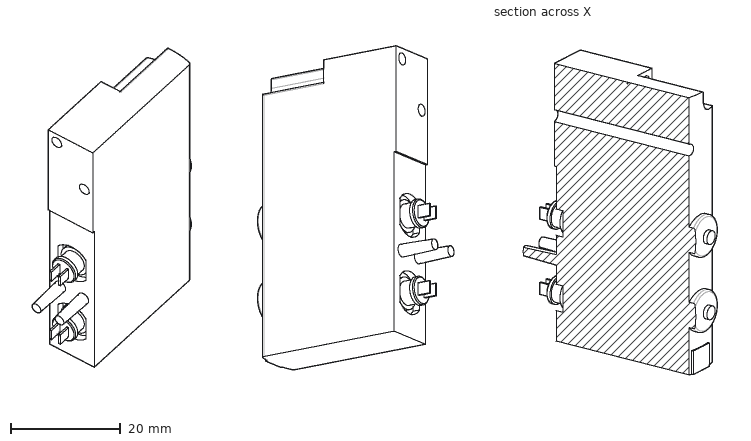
import cadquery as cq
import math

width = 10.2
height = 54.3
half_width = width / 2
crown_y = 30.45
crown_edge_y = 29.65
crown_edge_fillet = 0.6
step_z = 34.15
step_depth = 0.45

pad_width = 5.1
pad_height = 4.6
pad_back_y = 30.6

mount_hole_diameter = 2.2
mount_holes = [(-3.15, 52.25), (3.15, 44.05)]

notch_front_y = 16.0
notch_depth = 4.2
notch_cove_radius = 2.15
notch_lip_radius = 0.4

unit_pitch = 14.7
lower_connector_z = 8.6
lower_button_z = 11.8
connector_zs = [lower_connector_z, lower_connector_z + unit_pitch]
button_zs = [lower_button_z, lower_button_z + unit_pitch]

recess_diameter = 8.1
recess_width = 6.35
recess_depth = 1.45
collar_diameter = 6.1
collar_height = 0.7
stem_diameter = 4.5
cap_diameter = 5.3
cap_back_y = -1.3
cap_front_y = -2.15
cap_chamfer = 0.2
blade_tip_y = -4.65
blade_thickness = 0.4
blade_height = 2.35
blade_spacing = 2.0

button_diameter = 8.1
button_rim_y = 31.15
button_shoulder_radius = 3.7
button_shoulder_y = 31.55
button_dome_y = 32.0
button_dome_radius = 10.85
nub_diameter = 2.6
nub_end_y = 32.8

pin_base_diameter = 2.4
pin_tip_diameter = 2.0
pin_tip_y = -7.05
pin_tip_dome = 0.2
pin_spacing = 5.25
pin_z = sum(connector_zs) / 2

root_overlap = 0.55
lower_front_y = step_depth
recess_floor_y = lower_front_y + recess_depth
front_root_y = recess_floor_y + root_overlap
back_root_y = crown_edge_y - root_overlap


def cylinder_along_y(x, z, diameter, y_start, y_end):
    """Solid cylinder parallel to Y between two y positions."""
    length = y_end - y_start
    return cq.Workplane(cq.Solid.makeCylinder(
        diameter / 2, length, cq.Vector(x, y_start, z), cq.Vector(0, 1, 0)))


def make_body():
    """Block with a crowned back and a stepped front."""
    body = (
        cq.Workplane("XY")
        .moveTo(-half_width, 0)
        .lineTo(half_width, 0)
        .lineTo(half_width, crown_edge_y)
        .threePointArc((0, crown_y), (-half_width, crown_edge_y))
        .close()
        .extrude(height)
    )
    body = body.edges("|Z").edges(">Y").fillet(crown_edge_fillet)
    step = cq.Workplane("XY").box(width, step_depth, step_z, centered=(True, False, False))
    return body.cut(step)


def make_pad():
    """Shallow block standing just proud of the crown."""
    pad_length = pad_back_y - back_root_y
    pad = cq.Workplane("XY").box(pad_width, pad_length, pad_height, centered=(True, False, False))
    return pad.translate((0, back_root_y, 0))


def make_notch():
    """Cutter with a coved inner corner and rounded lips, run from the notch front to past the back."""
    left = -half_width
    wall_x = left + notch_depth
    floor_z = height - notch_depth
    mid_arc_inset = 1 - math.cos(math.radians(45))
    cove_mid = notch_cove_radius * mid_arc_inset
    lip_mid = notch_lip_radius * mid_arc_inset
    return (
        cq.Workplane("XZ", origin=(0, notch_front_y, 0))
        .moveTo(left, height)
        .lineTo(left, floor_z - notch_lip_radius)
        .threePointArc((left + lip_mid, floor_z - lip_mid), (left + notch_lip_radius, floor_z))
        .lineTo(wall_x - notch_cove_radius, floor_z)
        .threePointArc((wall_x - cove_mid, floor_z + cove_mid), (wall_x, floor_z + notch_cove_radius))
        .lineTo(wall_x, height - notch_lip_radius)
        .threePointArc((wall_x + lip_mid, height - lip_mid), (wall_x + notch_lip_radius, height))
        .close()
        .extrude(-crown_y)
    )


def make_recess(z):
    """Round recess with two vertical flats."""
    disc = cylinder_along_y(0, z, recess_diameter, 0, recess_floor_y)
    slab = cq.Workplane("XY").box(recess_width, 2 * recess_floor_y, recess_diameter)
    return disc.intersect(slab.translate((0, 0, z)))


def make_connector(z):
    """Stepped round plug with two flat blades, standing on the recess floor."""
    collar = cylinder_along_y(0, z, collar_diameter, recess_floor_y - collar_height, front_root_y)
    stem = cylinder_along_y(0, z, stem_diameter, cap_back_y, front_root_y)
    cap = cylinder_along_y(0, z, cap_diameter, cap_front_y, cap_back_y)
    cap = cap.faces("<Y").chamfer(cap_chamfer)
    connector = collar.union(stem).union(cap)
    blade_length = cap_back_y - blade_tip_y
    blade_y = (cap_back_y + blade_tip_y) / 2
    for side in (-1, 1):
        blade = cq.Workplane("XY").box(blade_thickness, blade_length, blade_height)
        connector = connector.union(blade.translate((side * blade_spacing / 2, blade_y, z)))
    return connector


def make_pin(x):
    """Tapered pin with a slightly domed tip, turned about its axis."""
    base_radius = pin_base_diameter / 2
    tip_radius = pin_tip_diameter / 2
    dome_radius = (tip_radius ** 2 + pin_tip_dome ** 2) / (2 * pin_tip_dome)
    profile = (
        cq.Workplane("XY")
        .lineTo(0, pin_tip_y)
        .radiusArc((tip_radius, pin_tip_y + pin_tip_dome), -dome_radius)
        .lineTo(base_radius, lower_front_y)
        .lineTo(base_radius, front_root_y)
        .lineTo(0, front_root_y)
        .close()
    )
    return profile.revolve(360, (0, 0, 0), (0, 1, 0)).translate((x, 0, pin_z))


def make_button(z):
    """Domed push button with a small central nub, turned about its axis."""
    rim_radius = button_diameter / 2
    nub_radius = nub_diameter / 2
    profile = (
        cq.Workplane("XY")
        .moveTo(0, back_root_y)
        .lineTo(rim_radius, back_root_y)
        .lineTo(rim_radius, button_rim_y)
        .tangentArcPoint((button_shoulder_radius, button_shoulder_y), relative=False)
        .radiusArc((nub_radius, button_dome_y), -button_dome_radius)
        .lineTo(nub_radius, nub_end_y)
        .lineTo(0, nub_end_y)
        .close()
    )
    return profile.revolve(360, (0, 0, 0), (0, 1, 0)).translate((0, 0, z))


result = make_body().union(make_pad()).cut(make_notch())
for hole_x, hole_z in mount_holes:
    result = result.cut(cylinder_along_y(hole_x, hole_z, mount_hole_diameter, 0, crown_y))
for connector_z in connector_zs:
    result = result.cut(make_recess(connector_z)).union(make_connector(connector_z))
for pin_side in (-1, 1):
    result = result.union(make_pin(pin_side * pin_spacing / 2))
for button_z in button_zs:
    result = result.union(make_button(button_z))